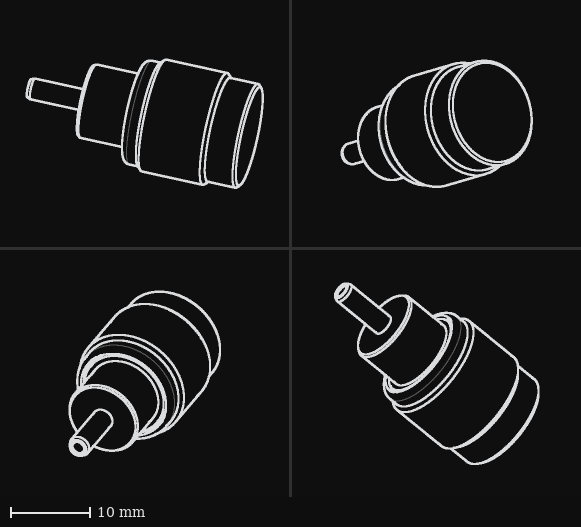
import cadquery as cq

total_length = 28.9

pin_radius = 1.35
pin_length = 7.5
pin_tip_radius = 1.15
pin_chamfer_length = 0.45

ferrule_radius = 4.77
ferrule_chamfer_length = 0.3
ferrule_chamfer_depth = 0.2

nut_start = 13.85
nut_radius = 6.73
nut_fillet = 0.8
grip_radius = 7.25
grip_start = 16.4
grip_end = 24.4
grip_chamfer = grip_radius - nut_radius
back_chamfer = 0.35

groove_outer_radius = nut_radius - nut_fillet
groove_inner_radius = 5.52
inner_face_setback = 0.17
groove_ledge_width = 0.1
groove_outer_depth = 0.87
groove_inner_depth = 1.45

mouth_radius = 0.95
bore_radius = 0.8
bore_chamfer_length = 0.12
bore_depth = 4.05
bore_taper_length = 0.3
bore_floor_radius = 0.66
pilot_mouth_radius = 0.52
pilot_radius = 0.4
pilot_chamfer_length = 0.17
pilot_depth = 5.2
drill_point_length = 0.23


def revolve_about_x(profile):
    """Close a half profile and turn it about the X axis."""
    return profile.close().revolve(360, (0, 0, 0), (1, 0, 0))


def make_pin_and_ferrule():
    profile = (
        cq.Workplane("XY")
        .lineTo(0, pin_tip_radius)
        .lineTo(pin_chamfer_length, pin_radius)
        .lineTo(pin_length, pin_radius)
        .lineTo(pin_length, ferrule_radius - ferrule_chamfer_depth)
        .lineTo(pin_length + ferrule_chamfer_length, ferrule_radius)
        .lineTo(grip_start, ferrule_radius)
        .lineTo(grip_start, 0)
    )
    return revolve_about_x(profile)


def make_nut():
    profile = (
        cq.Workplane("XY")
        .moveTo(nut_start, 0)
        .lineTo(nut_start, nut_radius - nut_fillet)
        .radiusArc((nut_start + nut_fillet, nut_radius), nut_fillet)
        .lineTo(grip_start - grip_chamfer, nut_radius)
        .lineTo(grip_start, grip_radius)
        .lineTo(grip_end, grip_radius)
        .lineTo(grip_end + grip_chamfer, nut_radius)
        .lineTo(total_length - back_chamfer, nut_radius)
        .lineTo(total_length, nut_radius - back_chamfer)
        .lineTo(total_length, 0)
    )
    return revolve_about_x(profile)


def make_groove():
    outer_floor = nut_start + groove_outer_depth
    inner_floor = nut_start + groove_inner_depth
    profile = (
        cq.Workplane("XY")
        .moveTo(nut_start, 0)
        .lineTo(nut_start, groove_outer_radius)
        .lineTo(outer_floor, groove_outer_radius)
        .lineTo(outer_floor, groove_outer_radius - groove_ledge_width)
        .lineTo(inner_floor, groove_inner_radius + groove_ledge_width)
        .lineTo(inner_floor, groove_inner_radius)
        .lineTo(nut_start + inner_face_setback, groove_inner_radius)
        .lineTo(nut_start + inner_face_setback, 0)
    )
    return revolve_about_x(profile)


def make_pin_bore():
    profile = (
        cq.Workplane("XY")
        .lineTo(0, mouth_radius)
        .lineTo(bore_chamfer_length, bore_radius)
        .lineTo(bore_depth - bore_taper_length, bore_radius)
        .lineTo(bore_depth, bore_floor_radius)
        .lineTo(bore_depth, pilot_mouth_radius)
        .lineTo(bore_depth + pilot_chamfer_length, pilot_radius)
        .lineTo(pilot_depth, pilot_radius)
        .lineTo(pilot_depth + drill_point_length, 0)
    )
    return revolve_about_x(profile)


result = make_nut().cut(make_groove()).union(make_pin_and_ferrule()).cut(make_pin_bore())